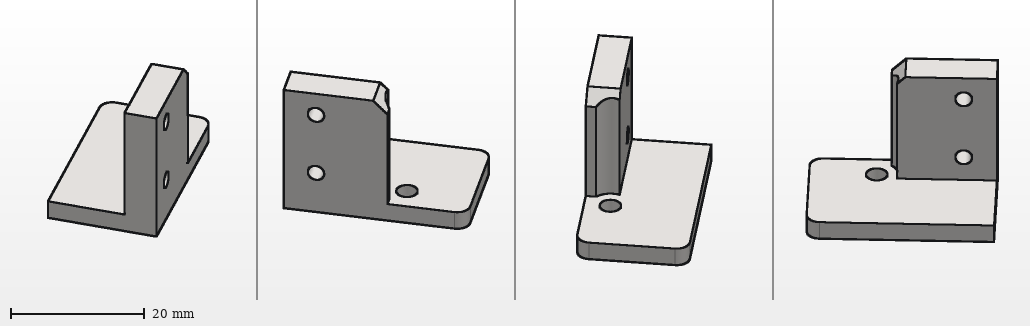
import cadquery as cq

width = 17.0
length = 28.15
height = 21.4

base_thickness = 3.0
corner_radius = 2.0

wall_thickness = 5.0
wall_length = 15.87
wall_chamfer = 2.17

mount_hole_diameter = 3.2
mount_hole_x = width - 4.0
mount_hole_y = 18
head_clearance_radius = 3.25

cross_hole_diameter = 2.5
cross_hole_y = 4.95
lower_hole_z = 7.1
hole_spacing = 10.5


def make_base():
    plate = cq.Workplane("XY").box(width, length, base_thickness, centered=False)
    return plate.edges("|Z and >Y").fillet(corner_radius)


def make_wall():
    """Upright wall with its top rear edge chamfered and cleared for the screw head."""
    wall = (
        cq.Workplane("XY")
        .box(wall_thickness, wall_length, height, centered=False)
        .translate((width - wall_thickness, 0, 0))
        .edges(">Y and >Z")
        .chamfer(wall_chamfer)
    )
    clearance = (
        cq.Workplane("XY", origin=(mount_hole_x, mount_hole_y, base_thickness))
        .circle(head_clearance_radius)
        .extrude(height - base_thickness)
    )
    return wall.cut(clearance)


def make_mount_hole():
    return (
        cq.Workplane("XY", origin=(mount_hole_x, mount_hole_y, 0))
        .circle(mount_hole_diameter / 2)
        .extrude(base_thickness)
    )


def make_cross_holes():
    return (
        cq.Workplane("YZ")
        .pushPoints([(cross_hole_y, lower_hole_z), (cross_hole_y, lower_hole_z + hole_spacing)])
        .circle(cross_hole_diameter / 2)
        .extrude(width)
    )


result = make_base().union(make_wall()).cut(make_mount_hole()).cut(make_cross_holes())